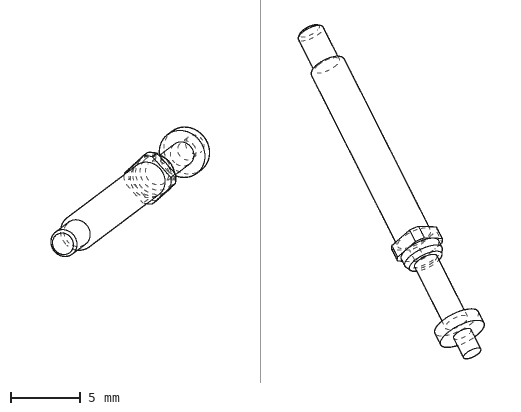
import cadquery as cq


tail_radius = 1.0
tail_length = 3.0
tail_chamfer = 0.2
barrel_radius = 1.325
barrel_length = 15.0
barrel_edge_radius = 0.2

flange_radius = 1.8
flange_across_flats = 3.0
flange_thickness = 1.0
flange_turn = 45.0

collar_radius = 1.5
collar_length = 1.0
taper_length = 0.4
taper_depth = 0.2

stem_radius = 0.9
stem_length = 5.3
disc_radius = 1.75
disc_thickness = 1.0
tip_radius = 0.7
tip_length = 1.7

barrel_end = -barrel_length
tail_end = barrel_end - tail_length
collar_start = flange_thickness
collar_end = collar_start + collar_length
stem_end = collar_end + stem_length
disc_end = stem_end + disc_thickness


def section_plane(y_start):
    """Plane at y_start whose normal points along +Y."""
    return cq.Workplane("ZX", origin=(0, y_start, 0))


def cylinder(y_start, radius, length):
    """Round section of the given length, growing from y_start toward +Y."""
    return section_plane(y_start).circle(radius).extrude(length)


def make_tail():
    tail = cylinder(tail_end, tail_radius, tail_length)
    return tail.faces("<Y").edges().chamfer(tail_chamfer)


def make_barrel():
    barrel = cylinder(barrel_end, barrel_radius, barrel_length)
    return barrel.faces("<Y").edges().fillet(barrel_edge_radius)


def make_flange():
    flats = section_plane(0).rect(flange_across_flats, flange_across_flats)
    flats = flats.extrude(flange_thickness)
    flats = flats.rotate((0, 0, 0), (0, 1, 0), flange_turn)
    return cylinder(0, flange_radius, flange_thickness).intersect(flats)


def make_collar():
    collar = cylinder(collar_start, collar_radius, collar_length)
    return collar.faces(">Y").edges().chamfer(taper_length, taper_depth)


def make_plunger():
    stem = cylinder(collar_end, stem_radius, stem_length)
    disc = cylinder(stem_end, disc_radius, disc_thickness)
    tip = cylinder(disc_end, tip_radius, tip_length)
    return stem.union(disc).union(tip)


result = make_tail()
for section in (make_barrel(), make_flange(), make_collar(), make_plunger()):
    result = result.union(section)